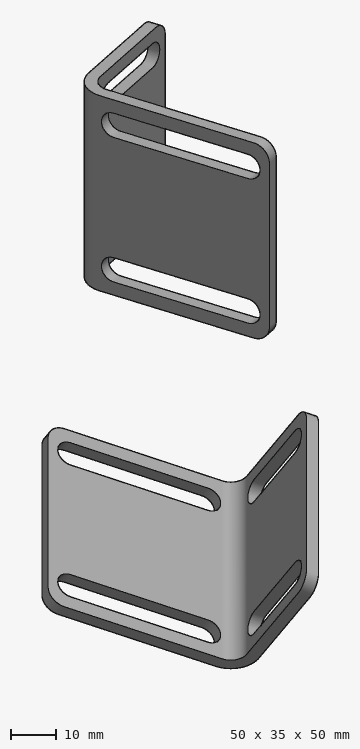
import cadquery as cq

long_leg = 50.0
short_leg = 35.0
height = 50.0
thickness = 3.0

inner_bend_radius = 4.0
outer_bend_radius = inner_bend_radius + thickness
corner_radius = 4.0

slot_width = 6.2
slot_end_margin = 2.4
slot_bend_offset = 7.4
slot_spacing = 37.0


def bent_plate():
    """L-shaped plate with a rounded bend along Z."""
    outer = cq.Workplane("XY").box(long_leg, short_leg, height, centered=False)
    outer = outer.edges("|Z and <X and <Y").fillet(outer_bend_radius)
    inner = (
        cq.Workplane("XY")
        .box(long_leg, short_leg, height, centered=False)
        .edges("|Z and <X and <Y")
        .fillet(inner_bend_radius)
        .translate((thickness, thickness, 0))
    )
    return outer.cut(inner)


def slot_pair(plane, leg_length):
    """Two full-round slots through a leg; local x runs along the leg."""
    slot_length = leg_length - slot_end_margin - slot_bend_offset
    slot_center = slot_bend_offset + slot_length / 2
    centers = [(slot_center, height / 2 + side * slot_spacing / 2) for side in (-1, 1)]
    return (
        cq.Workplane(plane)
        .pushPoints(centers)
        .slot2D(slot_length, slot_width)
        .extrude(thickness, both=True)
    )


bracket = bent_plate()

bracket = bracket.faces(">X").edges("|Y").fillet(corner_radius)
bracket = bracket.faces(">Y").edges("|X").fillet(corner_radius)

bracket = bracket.cut(slot_pair("XZ", long_leg))
bracket = bracket.cut(slot_pair("YZ", short_leg))

result = bracket